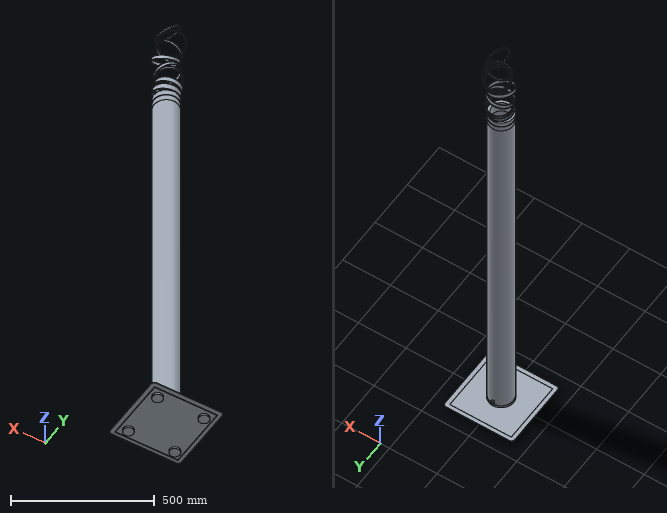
import cadquery as cq
plate_side = 294.0
plate_thickness = 2.5
plate_corner_radius = 14.0
pad_margin = 18.0
pad_thickness = 3.0

foot_diameter = 41.0
foot_height = 8.3
foot_spacing = 191.0

pole_diameter = 102.0
pole_wall = 2.0
pole_top = 1598.0
bore_floor = 22.0

button_diameter = 14.0
button_projection = 5.0
button_height = 38.5

cap_height = 24.0
spigot_length = 24.0
cap_rim = 12.0
ring_wall = 3.0

ring_height_step = 2.2

RING_POSES = [
    ((2.0, 4.0, 1650.0), -15.1, -0.6),
    ((0.0, 12.0, 1675.0), -14.5, -6.8),
    ((-4.7, 10.0, 1718.0), 14.0, -6.3),
    ((-3.5, 2.0, 1753.0), 11.9, 17.2),
    ((8.7, 10.0, 1803.0), -27.1, 10.2),
    ((4.0, 25.0, 1840.0), -16.3, -23.7),
    ((-7.3, 25.0, 1885.0), 20.6, -8.0),
    ((5.1, 15.0, 1937.0), -3.6, 37.1),
]

plate_base = foot_height + pad_thickness
plate_top = plate_base + plate_thickness
pole_radius = pole_diameter / 2
bore_radius = pole_radius - pole_wall
pad_side = plate_side - 2 * pad_margin
cap_bore_radius = pole_radius - cap_rim


def disc(radius, height, base_z):
    """Upright solid cylinder standing on the level base_z."""
    return cq.Workplane("XY", origin=(0, 0, base_z)).circle(radius).extrude(height)


def make_foot_plate():
    """Square plate with rounded corners and a smaller square pad under it."""
    plate = (
        cq.Workplane("XY", origin=(0, 0, plate_base))
        .rect(plate_side, plate_side)
        .extrude(plate_thickness)
        .edges("|Z")
        .fillet(plate_corner_radius)
    )
    pad = (
        cq.Workplane("XY", origin=(0, 0, foot_height))
        .rect(pad_side, pad_side)
        .extrude(pad_thickness)
    )
    return plate.union(pad)


def make_feet():
    """Four round feet reaching from the floor to the underside of the pad."""
    return (
        cq.Workplane("XY")
        .rect(foot_spacing, foot_spacing, forConstruction=True)
        .vertices()
        .circle(foot_diameter / 2)
        .extrude(foot_height)
    )


def make_button():
    """Small round button on the +Y side of the pole, near its foot."""
    return (
        cq.Workplane("XZ", origin=(0, bore_radius, button_height))
        .circle(button_diameter / 2)
        .extrude(-(pole_wall + button_projection))
    )


def make_post():
    """Foot plate, feet and hollow pole in one piece."""
    pole = disc(pole_radius, pole_top - plate_top, plate_top)
    bore = disc(bore_radius, pole_top - bore_floor, bore_floor)
    post = make_foot_plate().union(make_feet()).union(pole).cut(bore)
    return post.union(make_button().cut(bore))


def make_cap():
    """Level ring on top of the pole, with a spigot that fits into the pole's bore."""
    head = disc(pole_radius, cap_height, pole_top)
    spigot = disc(bore_radius, spigot_length, pole_top - spigot_length)
    opening = disc(cap_bore_radius, cap_height + spigot_length, pole_top - spigot_length)
    return head.union(spigot).cut(opening)


def make_loose_ring(number, centre, tilt_x, tilt_y):
    """Plain ring of the pole's diameter, tilted about its own centre."""
    height = cap_height - number * ring_height_step
    outer = disc(pole_radius, height, -height / 2)
    ring = outer.cut(disc(pole_radius - ring_wall, height, -height / 2))
    ring = ring.rotate((0, 0, 0), (1, 0, 0), tilt_x)
    ring = ring.rotate((0, 0, 0), (0, 1, 0), tilt_y)
    return ring.translate(centre)


post = make_post()
cap = make_cap()
loose_rings = [
    make_loose_ring(number, centre, tilt_x, tilt_y)
    for number, (centre, tilt_x, tilt_y) in enumerate(RING_POSES, start=1)
]

result = cq.Compound.makeCompound(
    [post.val(), cap.val(), *[ring.val() for ring in loose_rings]]
)